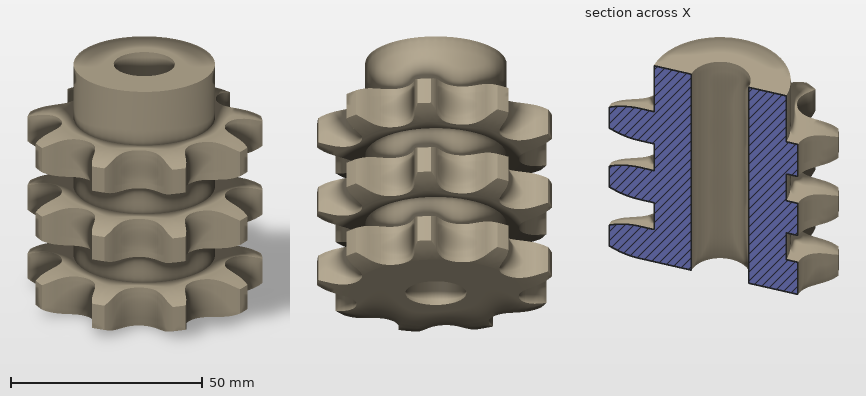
import cadquery as cq
import math


tooth_count = 9
chain_pitch = 19.05
roller_diameter = 12.1
seat_clearance = 0.04
tip_diameter = 62.0
row_count = 3
row_spacing = 19.5
row_width = 10.8
side_flat_diameter = 45.25
side_round_radius = chain_pitch
hub_diameter = 37.0
bore_diameter = 16.0
total_height = 65.0

half_step = 180 / tooth_count
pitch_radius = chain_pitch / 2 / math.sin(math.radians(half_step))
seat_angle = 35 + 60 / tooth_count
working_angle = 18 - 56 / tooth_count
topping_angle = 17 - 64 / tooth_count
seat_radius = 0.5025 * roller_diameter + seat_clearance
working_center_offset = 0.8 * roller_diameter
working_radius = working_center_offset + seat_radius
topping_center_offset = 1.4 * roller_diameter
straight_length = topping_center_offset * math.sin(
    math.radians(topping_angle)
) - working_center_offset * math.sin(math.radians(working_angle))


def polar(center, radius, degrees):
    angle = math.radians(degrees)
    return (center[0] + radius * math.cos(angle), center[1] + radius * math.sin(angle))


def tooth_flank():
    """Points of the flank right of the +Y gap, from the end of its seat out to a pointed tooth tip."""
    roller_center = (0, pitch_radius)
    seat_end = polar(roller_center, seat_radius, -seat_angle)

    working_center = polar(roller_center, working_center_offset, 180 - seat_angle)
    working_middle = polar(working_center, working_radius, working_angle / 2 - seat_angle)
    straight_angle = working_angle - seat_angle
    working_end = polar(working_center, working_radius, straight_angle)

    straight_end = polar(working_end, straight_length, straight_angle + 90)
    topping_center = polar(roller_center, topping_center_offset, -half_step)
    topping_radius = math.dist(topping_center, straight_end)
    topping_start = straight_angle + 180
    center_past_tooth = topping_center_offset - chain_pitch / 2
    topping_end = 180 - half_step - math.degrees(math.acos(center_past_tooth / topping_radius))
    topping_middle = polar(topping_center, topping_radius, (topping_start + topping_end) / 2)
    tooth_point = polar(topping_center, topping_radius, topping_end)
    return [seat_end, working_middle, working_end, straight_end, topping_middle, tooth_point]


def turn(point, degrees):
    return polar((0, 0), math.hypot(*point), math.degrees(math.atan2(point[1], point[0])) + degrees)


def mirror(point):
    return (-point[0], point[1])


def toothed_prism():
    """Sprocket outline with fully pointed teeth, as thick as one row."""
    right_flank = tooth_flank()
    left_flank = [mirror(point) for point in right_flank]
    gap_root = (0, pitch_radius - seat_radius)
    outline = cq.Workplane("XY").moveTo(*left_flank[-1])
    for gap in range(tooth_count):
        gap_angle = -2 * half_step * gap

        seat_start, working_middle, working_end, straight_end, topping_middle, _ = [
            turn(point, gap_angle) for point in left_flank
        ]
        outline = outline.threePointArc(topping_middle, straight_end)
        outline = outline.lineTo(*working_end)
        outline = outline.threePointArc(working_middle, seat_start)

        seat_end, working_middle, working_end, straight_end, topping_middle, tooth_point = [
            turn(point, gap_angle) for point in right_flank
        ]
        outline = outline.threePointArc(turn(gap_root, gap_angle), seat_end)
        outline = outline.threePointArc(working_middle, working_end)
        outline = outline.lineTo(*straight_end)
        outline = outline.threePointArc(topping_middle, tooth_point)
    return outline.close().extrude(row_width)


def row_blank():
    """Turned disc whose two faces curve in towards the tooth tips."""
    flat_radius = side_flat_diameter / 2
    tip_radius = tip_diameter / 2

    def face_drop(radius):
        return side_round_radius - math.sqrt(side_round_radius**2 - (radius - flat_radius) ** 2)

    middle_radius = (flat_radius + tip_radius) / 2
    middle_drop = face_drop(middle_radius)
    tip_drop = face_drop(tip_radius)
    return (
        cq.Workplane("XZ")
        .lineTo(flat_radius, 0)
        .threePointArc((middle_radius, middle_drop), (tip_radius, tip_drop))
        .lineTo(tip_radius, row_width - tip_drop)
        .threePointArc((middle_radius, row_width - middle_drop), (flat_radius, row_width))
        .lineTo(0, row_width)
        .close()
        .revolve(360, (0, 0, 0), (0, 1, 0))
    )


tooth_row = toothed_prism().intersect(row_blank())
result = cq.Workplane("XY").circle(hub_diameter / 2).extrude(total_height)
for row in range(row_count):
    result = result.union(tooth_row.translate((0, 0, row * row_spacing)))

bore = cq.Workplane("XY").circle(bore_diameter / 2).extrude(total_height)
result = result.cut(bore)